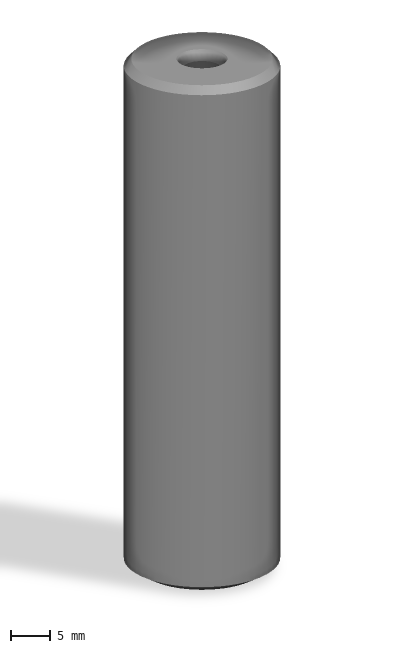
import cadquery as cq

length = 70.0
diameter = 20.0

top_chamfer_height = 1.0
top_chamfer_width = 1.0

bottom_chamfer_height = 1.2
bottom_chamfer_width = 2.0

hole_diameter = 5.0
mouth_diameter = 6.5
mouth_depth = 1.3

radius = diameter / 2
hole_radius = hole_diameter / 2
mouth_radius = mouth_diameter / 2


def make_pin():
    """Revolve the half section, drawn as (radius, height), about the Z axis."""
    section = [
        (hole_radius, 0),
        (radius - bottom_chamfer_width, 0),
        (radius, bottom_chamfer_height),
        (radius, length - top_chamfer_height),
        (radius - top_chamfer_width, length),
        (mouth_radius, length),
        (hole_radius, length - mouth_depth),
    ]
    return cq.Workplane("XZ").polyline(section).close().revolve(360, (0, 0, 0), (0, 1, 0))


result = make_pin()